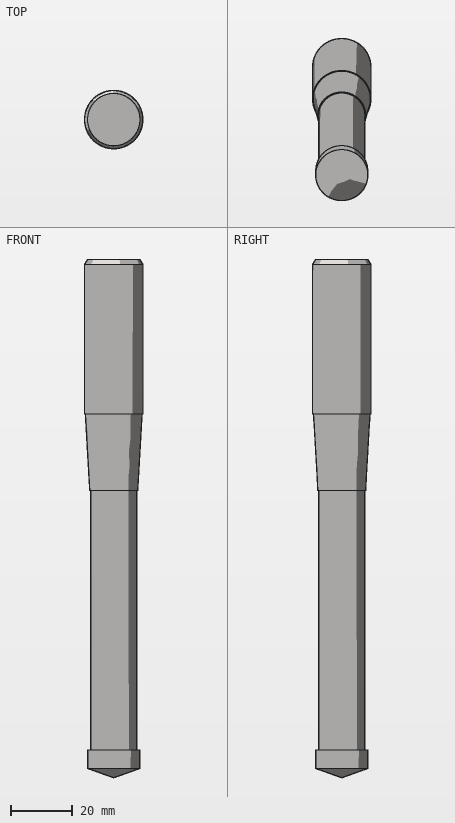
import cadquery as cq

TOTAL_LENGTH = 168.0
POINT_HEIGHT = 3.0
TIP_TOP = 9.0
TAPER_BOTTOM = 93.0
TAPER_TOP = 117.9

SHANK_DIAMETER = 19.0
TAPER_START_DIAMETER = 18.5
TAPER_END_DIAMETER = 15.6
NECK_DIAMETER = 15.0
TIP_DIAMETER = 17.0

BEVEL_WIDTH = 1.0
BEVEL_HEIGHT = 1.7


def revolve_profile(points):
    """Turn a closed (radius, height) outline around the Z axis."""
    return cq.Workplane("XZ").polyline(points).close().revolve(360, (0, 0, 0), (0, 1, 0))


def make_tip():
    """Cutting tip: a short cylinder ending in a conical point."""
    radius = TIP_DIAMETER / 2
    return revolve_profile([
        (0, 0),
        (radius, POINT_HEIGHT),
        (radius, TIP_TOP),
        (0, TIP_TOP),
    ])


def make_holder():
    """Neck, tapered shoulder and bevelled shank, standing on the tip."""
    neck_radius = NECK_DIAMETER / 2
    shank_radius = SHANK_DIAMETER / 2
    return revolve_profile([
        (0, TIP_TOP),
        (neck_radius, TIP_TOP),
        (neck_radius, TAPER_BOTTOM),
        (TAPER_END_DIAMETER / 2, TAPER_BOTTOM),
        (TAPER_START_DIAMETER / 2, TAPER_TOP),
        (shank_radius, TAPER_TOP),
        (shank_radius, TOTAL_LENGTH - BEVEL_HEIGHT),
        (shank_radius - BEVEL_WIDTH, TOTAL_LENGTH),
        (0, TOTAL_LENGTH),
    ])


tip = make_tip()
holder = make_holder()

result = cq.Compound.makeCompound([tip.val(), holder.val()])